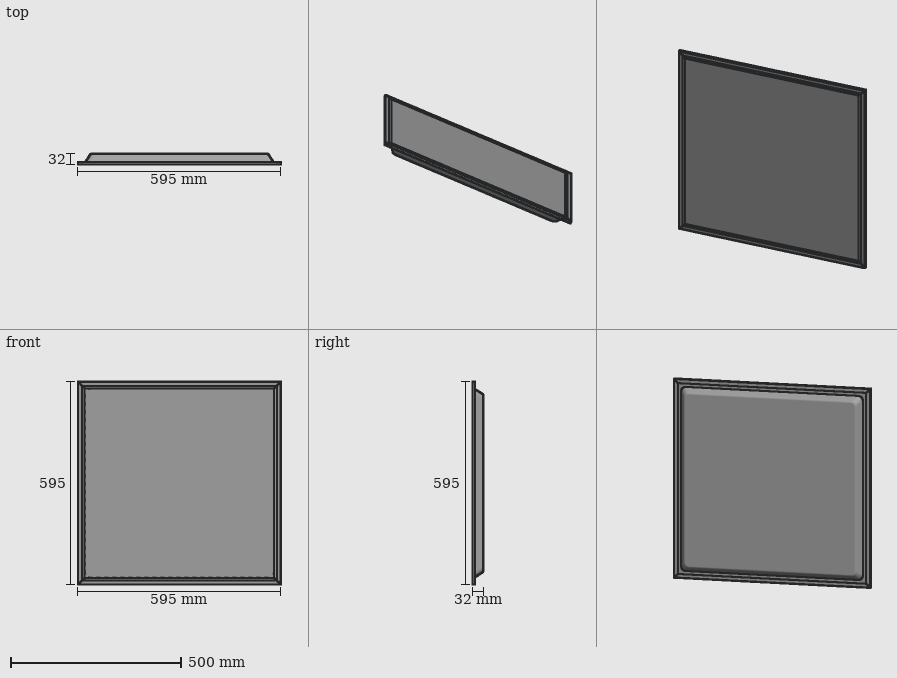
import cadquery as cq

panel_side = 595.0
total_depth = 32.0

frame_depth = 8.5
lip_width = 19.5
lip_thickness = 0.5
wall_width = 12.0

cover_base_inset = 22.0
cover_taper = 32.5
cover_corner_radius = 18.0
cover_edge_radius = 7.0

half_side = panel_side / 2
front_y = -total_depth / 2
frame_back_y = front_y + frame_depth
diffuser_side = panel_side - 2 * wall_width
diffuser_thickness = frame_depth - lip_thickness
cover_base_side = panel_side - 2 * cover_base_inset
cover_height = total_depth - frame_depth


def square_prism(side, start_y, depth):
    """Square block centred on the Y axis, from start_y toward +Y."""
    return cq.Workplane("XY").box(side, depth, side).translate((0, start_y + depth / 2, 0))


def frame_rail(angle):
    """One side of the frame with 45 degree mitred ends, turned about Y."""
    mitre_triangle = [(0, 0), (half_side, half_side), (-half_side, half_side)]
    wedge = (
        cq.Workplane("XZ", origin=(0, frame_back_y, 0))
        .polyline(mitre_triangle)
        .close()
        .extrude(frame_depth)
    )
    opening = square_prism(panel_side - 2 * lip_width, front_y, frame_depth)
    seat = square_prism(diffuser_side, front_y + lip_thickness, diffuser_thickness)
    return wedge.cut(opening).cut(seat).rotate((0, 0, 0), (0, 1, 0), angle)


def light_diffuser():
    """Flat square plate seated behind the lip and flush with the back of the frame."""
    return square_prism(diffuser_side, front_y + lip_thickness, diffuser_thickness)


def back_cover():
    """Tapered cover on the back of the diffuser, with a rounded rear edge."""
    block = (
        cq.Workplane("XZ", origin=(0, frame_back_y, 0))
        .rect(cover_base_side, cover_base_side)
        .extrude(-cover_height, taper=cover_taper)
    )
    sloped_corners = block.edges("not(#Y)")
    rounded_block = sloped_corners.fillet(cover_corner_radius)
    return rounded_block.faces(">Y").edges().fillet(cover_edge_radius)


rails = [frame_rail(90 * turn) for turn in range(4)]
diffuser = light_diffuser()
cover = back_cover()

result = cq.Compound.makeCompound([*[rail.val() for rail in rails], diffuser.val(), cover.val()])